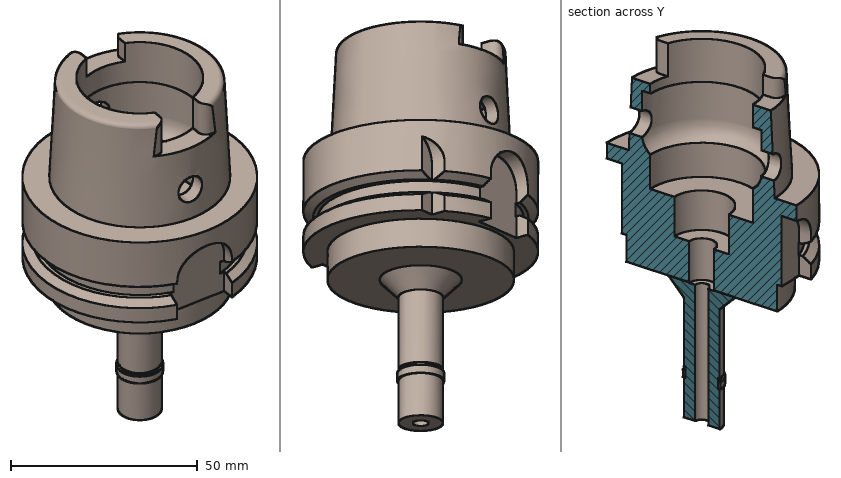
import cadquery as cq
import math


TAPER_HEIGHT = 32.0
TAPER_BASE_RADIUS = 24.3
TAPER_SLOPE = 1 / 20
TAPER_RIM_FILLET = 1.5

MOUTH_RADIUS = 17.0
MOUTH_DEPTH = 13.0
GRIP_RADIUS = 19.8
GRIP_BOTTOM = 6.3
GRIP_CURVE_RADIUS = 7.0
BORE_FLOOR = -9.5
THREAD_BORE_RADIUS = 9.0
THREAD_BORE_FLOOR = -21.4
COOLANT_BORE_RADIUS = 4.1
CROSS_HOLE_RADIUS = 3.9
CROSS_HOLE_HEIGHT = 9.1

DRIVE_SLOT_WIDTH = 12.5
DRIVE_SLOT_CORNER = 2.6
DRIVE_EAR_REACH = 20.9
LEFT_SLOT_DEPTH = 6.0
RIGHT_SLOT_DEPTH = 10.0

FLANGE_DIAMETER = 63.0
FLANGE_RADIUS = FLANGE_DIAMETER / 2
FLANGE_HEIGHT = 25.9
GROOVE_CENTER = 17.9
GROOVE_MOUTH_WIDTH = 6.8
GROOVE_NECK_WIDTH = 3.6
GROOVE_NECK_RADIUS = 28.9
GROOVE_FLOOR_RADIUS = 27.6

KEYWAY_FLOOR = 26.5
KEYWAY_TOP = 4.8
LEFT_KEYWAY_RADIUS = 7.9
RIGHT_KEYWAY_RADIUS = 9.0
NOTCH_FLOOR = 20.0
NOTCH_WALL = 20.0
NOTCH_RADIUS = 7.9
NOTCH_TOP = 3.9

SPIGOT_RADIUS = 25.0
SPIGOT_HEIGHT = 8.0

COLLAR_RADIUS = 11.0
COLLAR_HEIGHT = 5.0
ROD_RADIUS = 6.0
ARBOR_BORE_RADIUS = 2.1
SEAT_RADIUS = 5.5
SEAT_TOP = 25.8
SEAT_WIDTH = 3.2

RING_RADIUS = 6.3
RING_WIDTH = 2.2

TOTAL_HEIGHT = 107

SPIGOT_FACE = -FLANGE_HEIGHT - SPIGOT_HEIGHT
ARBOR_END = TAPER_HEIGHT - TOTAL_HEIGHT
SEAT_BOTTOM = SPIGOT_FACE - SEAT_TOP - SEAT_WIDTH


def cylinder(radius, bottom, top):
    return cq.Workplane("XY").workplane(offset=bottom).circle(radius).extrude(top - bottom)


def revolve_profile(points):
    """Turn a closed outline of (radius, height) points around the Z axis."""
    return cq.Workplane("XZ").polyline(points).close().revolve(360, (0, 0), (0, 1))


def taper_shank():
    rim_radius = TAPER_BASE_RADIUS - TAPER_SLOPE * TAPER_HEIGHT
    shank = revolve_profile(
        [(0, 0), (TAPER_BASE_RADIUS, 0), (rim_radius, TAPER_HEIGHT), (0, TAPER_HEIGHT)]
    )
    return shank.faces(">Z").edges().fillet(TAPER_RIM_FILLET)


def flange():
    lip_top = -GROOVE_CENTER + GROOVE_MOUTH_WIDTH / 2
    lip_bottom = -GROOVE_CENTER - GROOVE_MOUTH_WIDTH / 2
    neck_top = -GROOVE_CENTER + GROOVE_NECK_WIDTH / 2
    neck_bottom = -GROOVE_CENTER - GROOVE_NECK_WIDTH / 2
    return revolve_profile(
        [
            (0, 0),
            (FLANGE_RADIUS, 0),
            (FLANGE_RADIUS, lip_top),
            (GROOVE_NECK_RADIUS, neck_top),
            (GROOVE_FLOOR_RADIUS, neck_top),
            (GROOVE_FLOOR_RADIUS, neck_bottom),
            (GROOVE_NECK_RADIUS, neck_bottom),
            (FLANGE_RADIUS, lip_bottom),
            (FLANGE_RADIUS, -FLANGE_HEIGHT),
            (0, -FLANGE_HEIGHT),
        ]
    )


def arched_slot(side, center_y, radius, top, floor):
    """Round-topped cutter, open at the flange bottom, that mills in along X down to a flat floor."""
    arch_center = -top - radius
    outline = (
        cq.Workplane("YZ")
        .workplane(offset=side * floor)
        .moveTo(center_y - radius, -FLANGE_HEIGHT)
        .lineTo(center_y - radius, arch_center)
        .threePointArc((center_y, -top), (center_y + radius, arch_center))
        .lineTo(center_y + radius, -FLANGE_HEIGHT)
        .close()
    )
    return outline.extrude(side * FLANGE_RADIUS)


def drive_slot(side, depth):
    """Slot through the shank wall whose outer corners are rounded into the flat ear ends."""
    half_width = DRIVE_SLOT_WIDTH / 2
    corner_start = DRIVE_EAR_REACH - DRIVE_SLOT_CORNER
    corner_y = half_width + DRIVE_SLOT_CORNER
    arc_offset = DRIVE_SLOT_CORNER * math.sqrt(0.5)
    arc_middle = (corner_start + arc_offset, corner_y - arc_offset)
    outline = (
        cq.Workplane("XY")
        .workplane(offset=TAPER_HEIGHT - depth)
        .moveTo(0, 0)
        .lineTo(0, half_width)
        .lineTo(corner_start, half_width)
        .threePointArc(arc_middle, (DRIVE_EAR_REACH, corner_y))
        .lineTo(DRIVE_EAR_REACH, FLANGE_RADIUS)
        .lineTo(FLANGE_RADIUS, FLANGE_RADIUS)
        .lineTo(FLANGE_RADIUS, 0)
        .close()
    )
    half = outline.extrude(depth)
    slot = half.union(half.mirror("XZ"))
    return slot if side > 0 else slot.mirror("YZ")


def stepped_bore():
    """Mouth, undercut grip groove with a hollow-curved lower end, and the bore below it."""
    curve_center = GRIP_RADIUS - GRIP_CURVE_RADIUS
    end_angle = math.acos((MOUTH_RADIUS - curve_center) / GRIP_CURVE_RADIUS)

    def curve_point(angle):
        radius = curve_center + GRIP_CURVE_RADIUS * math.cos(angle)
        return radius, GRIP_BOTTOM - GRIP_CURVE_RADIUS * math.sin(angle)

    grip_top = TAPER_HEIGHT - MOUTH_DEPTH
    return (
        cq.Workplane("XZ")
        .moveTo(0, TAPER_HEIGHT)
        .lineTo(MOUTH_RADIUS, TAPER_HEIGHT)
        .lineTo(MOUTH_RADIUS, grip_top)
        .lineTo(GRIP_RADIUS, grip_top)
        .lineTo(GRIP_RADIUS, GRIP_BOTTOM)
        .threePointArc(curve_point(end_angle / 2), curve_point(end_angle))
        .lineTo(MOUTH_RADIUS, BORE_FLOOR)
        .lineTo(0, BORE_FLOOR)
        .close()
        .revolve(360, (0, 0), (0, 1))
    )


def holder_bore():
    return (
        stepped_bore()
        .union(cylinder(THREAD_BORE_RADIUS, THREAD_BORE_FLOOR, BORE_FLOOR))
        .union(cylinder(COOLANT_BORE_RADIUS, SPIGOT_FACE, THREAD_BORE_FLOOR))
    )


def cross_hole():
    return (
        cq.Workplane("YZ")
        .center(0, CROSS_HOLE_HEIGHT)
        .circle(CROSS_HOLE_RADIUS)
        .extrude(FLANGE_RADIUS, both=True)
    )


def make_holder():
    holder = taper_shank().union(flange())
    keyways = (
        arched_slot(-1, 0, LEFT_KEYWAY_RADIUS, KEYWAY_TOP, KEYWAY_FLOOR),
        arched_slot(1, 0, RIGHT_KEYWAY_RADIUS, KEYWAY_TOP, KEYWAY_FLOOR),
        arched_slot(-1, NOTCH_WALL + NOTCH_RADIUS, NOTCH_RADIUS, NOTCH_TOP, NOTCH_FLOOR),
    )
    for keyway in keyways:
        holder = holder.cut(keyway)
    holder = holder.union(cylinder(SPIGOT_RADIUS, SPIGOT_FACE, -FLANGE_HEIGHT))
    holder = holder.cut(holder_bore()).cut(cross_hole())
    return holder.cut(drive_slot(-1, LEFT_SLOT_DEPTH)).cut(drive_slot(1, RIGHT_SLOT_DEPTH))


def make_arbor():
    """Bored rod with a conical collar under the spigot and a recessed ring seat near its end."""
    collar_bottom = SPIGOT_FACE - COLLAR_HEIGHT
    seat_top = SPIGOT_FACE - SEAT_TOP
    return revolve_profile(
        [
            (ARBOR_BORE_RADIUS, SPIGOT_FACE),
            (COLLAR_RADIUS, SPIGOT_FACE),
            (ROD_RADIUS, collar_bottom),
            (ROD_RADIUS, seat_top),
            (SEAT_RADIUS, seat_top),
            (SEAT_RADIUS, SEAT_BOTTOM),
            (ROD_RADIUS, SEAT_BOTTOM),
            (ROD_RADIUS, ARBOR_END),
            (ARBOR_BORE_RADIUS, ARBOR_END),
        ]
    )


def make_ring():
    """Ring in the arbor seat, pushed against its lower shoulder."""
    ring_top = SEAT_BOTTOM + RING_WIDTH
    return cylinder(RING_RADIUS, SEAT_BOTTOM, ring_top).cut(cylinder(SEAT_RADIUS, SEAT_BOTTOM, ring_top))


holder = make_holder()
arbor = make_arbor()
ring = make_ring()

result = cq.Compound.makeCompound([holder.val(), arbor.val(), ring.val()])